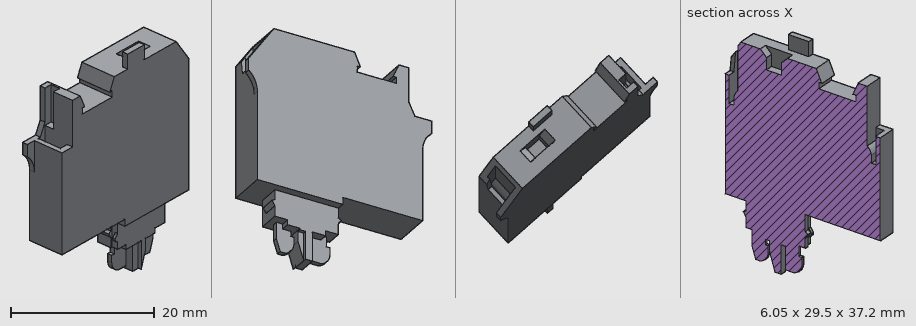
import cadquery as cq
import math


width = 6.05
overall_height = 37.25
depth = 26.64
overall_depth = 29.5
top_z = 25.1
front_bottom_z = 1.12
bottom_step_y = 12.88

plate_thickness = 0.9
front_overhang = 1.46
rear_overhang = overall_depth - depth - front_overhang
flange_radius = 4.0
rear_flange_low_z = 17.25
rear_flange_high_z = 19.16
front_flange_low_z = 15.6
front_rim_z = 17.59
rear_bevel_top_y = 23.96

post_front_y = 2.23
shoulder_y = 1.26
shoulder_top_z = 19.6
post_notch_width = 1.6
post_notch_depth = 1.27
post_notch_floor_z = 19.07

channel_floor_z = 22.0
channel_lip_z = 22.98
channel_front_y = 4.27
channel_rear_y = 10.54
channel_undercut = 0.5
channel_lip_run = 0.94

tab_thickness = 0.96
tab_front_y = 13.79
tab_length = 3.5
tab_height = 2.41
window_x = 2.05
window_width = 2.15
window_front_y = 15.93
window_length = 4.65
window_bevel = 1.06
window_depth = 3.0

pocket_far_x = 5.05
front_wall = 0.81
rear_wall = 0.68
rear_pocket_inner_y = 24.45
pocket_depth = 4.5
bulge_drop = 2.0
bulge_radius = 2.15
bulge_start_angle = 40
front_bulge_end_angle = 79
rear_bulge_end_angle = 90
rear_cheek_foot_x = 4.15
rear_cheek_lean = math.radians(8)

foot_x = 1.23
foot_far_x = 4.71
foot_relief_x = 3.7
foot_relief = 0.3
foot_rear_y = 23.1
foot_shoulder_z = -4.25
foot_bottom_z = -5.04
foot_front_step_y = 14.93
foot_rear_step_y = 21.06
ridge_height = 0.47
ridge_top_z = -1.55
ridge_tip_z = -1.83
ridge_base_z = -2.59
nub_width = 0.45
nub_height = 0.5
nub_top_z = -1.67
nub_tip_z = -2.37
nub_base_z = -3.04

hook_x = 2.62
hook_thickness = 0.78
hook_bottom_z = -8.8
hook_catch_z = -5.83
hook_radius = 1.9
hook_nose_z = -6.95
front_hook_y = 13.42
front_hook_catch = 0.55
front_hook_rear_y = 16.38
rear_hook_y = 19.25
rear_hook_catch = 0.45
rear_hook_rear_y = 22.08
rear_hook_bevel_z = -6.86
rear_hook_bevel = 0.64

blade_far_x = 4.08
blade_front_y = 17.05
blade_rear_y = 18.15
web_x = 1.8
web_rear_y = 19.06
web_top_z = -5.27
web_bevel_z = -6.81
web_bottom_z = -9.65
blade_bottom_z = top_z + tab_height - overall_height


def box(x0, x1, y0, y1, z0, z1):
    """Box given by its limits along X, Y and Z."""
    return cq.Workplane("XY").box(x1 - x0, y1 - y0, z1 - z0, centered=False).translate((x0, y0, z0))


def yz_plane(x):
    """Workplane at a given X whose local axes are Y and Z."""
    return cq.Workplane("YZ", origin=(x, 0, 0))


def yz_prism(points, x0, x1):
    """Polygon in Y and Z, extruded along X."""
    return yz_plane(x0).polyline(points).close().extrude(x1 - x0)


def flange_arc_height(overhang):
    """Height of the concave arc that runs from a flange edge to the wall below."""
    return math.sqrt(flange_radius**2 - (flange_radius - overhang) ** 2)


def flange_arc_middle(overhang):
    """Midpoint of a flange arc: distances out from the wall and up from its lower end."""
    half_angle = math.asin(flange_arc_height(overhang) / flange_radius) / 2
    return (flange_radius * (1 - math.cos(half_angle)), flange_radius * math.sin(half_angle))


def make_outline():
    """Full side outline of the plate, extruded over the whole width."""
    front_y = -front_overhang
    rear_y = depth + rear_overhang
    front_arc_z = front_flange_low_z - flange_arc_height(front_overhang)
    rear_arc_z = rear_flange_low_z - flange_arc_height(rear_overhang)
    front_arc_out, front_arc_up = flange_arc_middle(front_overhang)
    rear_arc_out, rear_arc_up = flange_arc_middle(rear_overhang)
    front_lip_y = channel_front_y + channel_undercut
    rear_lip_y = channel_rear_y - channel_undercut
    return (
        yz_plane(0)
        .moveTo(bottom_step_y, 0)
        .lineTo(depth, 0)
        .lineTo(depth, rear_arc_z)
        .threePointArc((depth + rear_arc_out, rear_arc_z + rear_arc_up), (rear_y, rear_flange_low_z))
        .lineTo(rear_y, rear_flange_high_z)
        .lineTo(rear_bevel_top_y, top_z)
        .lineTo(rear_lip_y + channel_lip_run, top_z)
        .lineTo(rear_lip_y, channel_lip_z)
        .lineTo(channel_rear_y, channel_lip_z)
        .lineTo(channel_rear_y, channel_floor_z)
        .lineTo(channel_front_y, channel_floor_z)
        .lineTo(channel_front_y, channel_lip_z)
        .lineTo(front_lip_y, channel_lip_z)
        .lineTo(front_lip_y - channel_lip_run, top_z)
        .lineTo(post_front_y, top_z)
        .lineTo(post_front_y, shoulder_top_z)
        .lineTo(shoulder_y, front_rim_z)
        .lineTo(front_y, front_rim_z)
        .lineTo(front_y, front_flange_low_z)
        .threePointArc((-front_arc_out, front_arc_z + front_arc_up), (0, front_arc_z))
        .lineTo(0, front_bottom_z)
        .lineTo(bottom_step_y, front_bottom_z)
        .close()
        .extrude(width)
    )


def trim_flanges(body):
    """Leave the flanges and the front shoulder on the cover plate only."""
    front = box(plate_thickness, width, -front_overhang, 0, 0, top_z)
    shoulder = box(plate_thickness, width, 0, post_front_y, front_rim_z, top_z)
    rear = box(plate_thickness, width, depth, depth + rear_overhang, 0, top_z)
    return body.cut(front).cut(shoulder).cut(rear)


def make_pocket(inner_y, outer_y, rim_z, bulge_end_angle):
    """Wire pocket whose inner wall has a convex bulge below the rim.

    The bulge runs between two slopes given in degrees, where 90 is vertical.
    """
    outward = math.copysign(1, outer_y - inner_y)
    bulge_z = rim_z - bulge_drop
    floor_z = rim_z - pocket_depth
    start_angle = math.radians(bulge_start_angle)
    end_angle = math.radians(bulge_end_angle)

    def bulge_point(angle):
        run = bulge_radius * (math.sin(angle) - math.sin(start_angle))
        drop = bulge_radius * (math.cos(start_angle) - math.cos(angle))
        return (inner_y + outward * run, bulge_z - drop)

    foot_y, foot_z = bulge_point(end_angle)
    return (
        yz_plane(plate_thickness)
        .moveTo(inner_y, top_z)
        .lineTo(inner_y, bulge_z)
        .threePointArc(bulge_point((start_angle + end_angle) / 2), (foot_y, foot_z))
        .lineTo(foot_y, floor_z)
        .lineTo(outer_y, floor_z)
        .lineTo(outer_y, top_z)
        .close()
        .extrude(pocket_far_x - plate_thickness)
    )


def cut_wire_pockets(body):
    """Open both ends of the housing; the rear one has a low back wall and a slanted cheek."""
    rear_wall_y = depth - rear_wall
    opening_height = top_z - rear_flange_high_z
    cheek_top_x = rear_cheek_foot_x + opening_height * math.tan(rear_cheek_lean)
    rear_opening = (
        cq.Workplane("XZ", origin=(0, depth, 0))
        .moveTo(plate_thickness, rear_flange_high_z)
        .lineTo(rear_cheek_foot_x, rear_flange_high_z)
        .lineTo(cheek_top_x, top_z)
        .lineTo(plate_thickness, top_z)
        .close()
        .extrude(rear_wall)
    )
    front_pocket = make_pocket(post_front_y, front_wall, front_rim_z, front_bulge_end_angle)
    rear_pocket = make_pocket(
        rear_pocket_inner_y, rear_wall_y, rear_flange_high_z, rear_bulge_end_angle
    )
    return body.cut(rear_opening).cut(front_pocket).cut(rear_pocket)


def cut_post_notch(body):
    """Notch between the plate and the front post."""
    notch = box(
        plate_thickness, plate_thickness + post_notch_width,
        post_front_y, post_front_y + post_notch_depth,
        post_notch_floor_z, top_z,
    )
    return body.cut(notch)


def cut_window(body):
    """Blind window in the top with bevels at its front and rear edges."""
    window_rear_y = window_front_y + window_length
    bevel_z = top_z - window_bevel
    floor_z = top_z - window_depth
    points = [
        (window_front_y, top_z),
        (window_front_y + window_bevel, bevel_z),
        (window_front_y + window_bevel, floor_z),
        (window_rear_y - window_bevel, floor_z),
        (window_rear_y - window_bevel, bevel_z),
        (window_rear_y, top_z),
    ]
    return body.cut(yz_prism(points, window_x, window_x + window_width))


def make_tab():
    """Upright tab on the +X edge of the top."""
    return box(
        width - tab_thickness, width,
        tab_front_y, tab_front_y + tab_length,
        top_z - tab_height, top_z + tab_height,
    )


def make_foot():
    """Stepped foot block with a snap ridge at each end."""
    points = [
        (bottom_step_y, front_bottom_z),
        (bottom_step_y, ridge_top_z),
        (bottom_step_y - ridge_height, ridge_tip_z),
        (bottom_step_y, ridge_base_z),
        (bottom_step_y, foot_shoulder_z),
        (foot_front_step_y, foot_shoulder_z),
        (foot_front_step_y, foot_bottom_z),
        (foot_rear_step_y, foot_bottom_z),
        (foot_rear_step_y, foot_shoulder_z),
        (foot_rear_y, foot_shoulder_z),
        (foot_rear_y, ridge_base_z),
        (foot_rear_y + ridge_height, ridge_tip_z),
        (foot_rear_y, ridge_top_z),
        (foot_rear_y, front_bottom_z),
    ]
    return yz_prism(points, foot_x, foot_far_x)


def cut_foot_relief(body):
    """Set back both foot ends on the +X side, the front one up to the housing's front bottom."""
    front = box(
        foot_relief_x, width,
        bottom_step_y - ridge_height, bottom_step_y + foot_relief,
        foot_shoulder_z, front_bottom_z,
    )
    rear_ridge = box(
        foot_relief_x, foot_far_x,
        foot_rear_y, foot_rear_y + ridge_height,
        foot_shoulder_z, 0,
    )
    return body.cut(front).cut(rear_ridge)


def make_nub():
    """Small catch on the set-back front face, bevelled above and rounded below."""
    face_y = bottom_step_y + foot_relief
    tip_y = face_y - nub_height
    rounding = math.sqrt(0.5)
    middle = (
        face_y - nub_height * rounding,
        nub_tip_z - (nub_tip_z - nub_base_z) * rounding,
    )
    return (
        yz_plane(foot_far_x - nub_width)
        .moveTo(face_y, nub_top_z)
        .lineTo(tip_y, nub_tip_z)
        .threePointArc(middle, (face_y, nub_base_z))
        .close()
        .extrude(nub_width)
    )


def make_hook(front_y, rear_y, catch):
    """Snap hook with a rounded nose and a catch facing the front."""
    neck_y = front_y + catch
    nose_angle = math.asin((hook_nose_z - hook_bottom_z) / hook_radius)

    def nose_point(angle):
        return (
            front_y + hook_radius * (1 - math.cos(angle)),
            hook_nose_z - hook_radius * math.sin(angle),
        )

    return (
        yz_plane(hook_x)
        .moveTo(neck_y, foot_shoulder_z)
        .lineTo(neck_y, hook_catch_z)
        .lineTo(front_y, hook_catch_z)
        .lineTo(front_y, hook_nose_z)
        .threePointArc(nose_point(nose_angle / 2), nose_point(nose_angle))
        .lineTo(rear_y, hook_bottom_z)
        .lineTo(rear_y, foot_shoulder_z)
        .close()
        .extrude(hook_thickness)
    )


def make_rear_hook():
    """Rear snap hook, with its lower rear corner bevelled."""
    bevel = [
        (rear_hook_rear_y, rear_hook_bevel_z),
        (rear_hook_rear_y, hook_bottom_z),
        (rear_hook_rear_y - rear_hook_bevel, hook_bottom_z),
    ]
    hook = make_hook(rear_hook_y, rear_hook_rear_y, rear_hook_catch)
    return hook.cut(yz_prism(bevel, hook_x, hook_x + hook_thickness))


def make_blade():
    """Contact blade backed by a web with a slanted rear edge."""
    blade = box(foot_x, blade_far_x, blade_front_y, blade_rear_y, blade_bottom_z, foot_bottom_z)
    root = box(foot_x, blade_far_x, blade_front_y, web_rear_y, web_top_z, foot_bottom_z)
    web_points = [
        (blade_rear_y, foot_bottom_z),
        (web_rear_y, foot_bottom_z),
        (web_rear_y, web_bevel_z),
        (blade_rear_y, web_bottom_z),
    ]
    return blade.union(root).union(yz_prism(web_points, web_x, foot_far_x))


housing = trim_flanges(make_outline())
housing = cut_wire_pockets(housing)
housing = cut_post_notch(housing)
housing = cut_window(housing)
housing = housing.union(make_tab())

plug = cut_foot_relief(housing.union(make_foot()))
plug = plug.union(make_nub())
plug = plug.union(make_hook(front_hook_y, front_hook_rear_y, front_hook_catch))
plug = plug.union(make_rear_hook())
result = plug.union(make_blade())